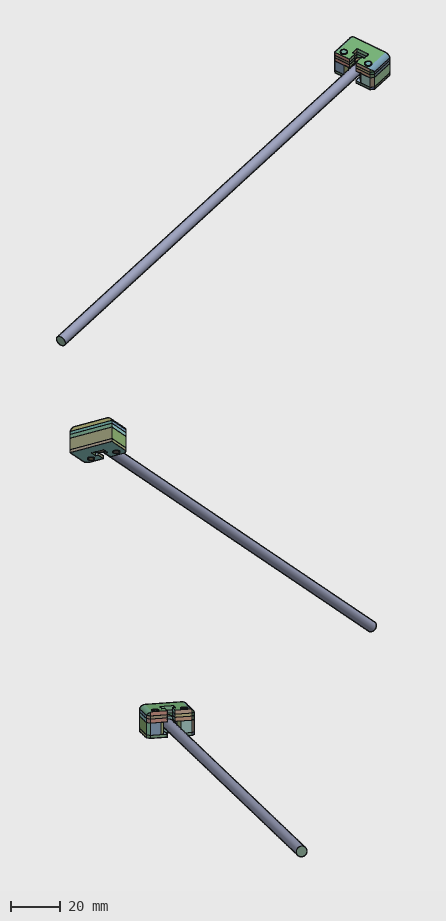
import cadquery as cq

block_width = 20.0
block_depth = 12.0
block_height = 11.12
rod_length = 200.0
back_y = (block_depth + rod_length) / 2
front_y = back_y - block_depth

base_top = 1.3
core_top = 6.42
cover_top = 8.12
spacer_top = 9.42

corner_chamfer = 1.3
crown_width = 2.1
crown_radius = 2.6

rod_radius = 2.25
rod_z = 4.25
head_radius = 3.5
head_length = 2.5

slot_width = 3.2
pocket_width = 5.7
pocket_length = 3.0
neck_length = 4.0
pocket_front_y = front_y + neck_length

core_slot_width = pocket_width
core_pocket_width = 2 * head_radius
core_mouth_chamfer = corner_chamfer

pin_radius = 1.5
pin_chamfer = 0.25
pin_spacing = 12.1
pin_inset = 2.4
pin_centers = [(side * pin_spacing / 2, front_y + pin_inset) for side in (-1, 1)]


def box_on(bottom, top, width, y_start, length):
    """Box centred on X between two heights, running back from y_start."""
    base_plane = cq.Workplane("XY", origin=(0, y_start, bottom))
    return base_plane.box(width, length, top - bottom, centered=(True, False, False))


def plate_blank(bottom, top):
    """Rectangular plate with chamfered front corners and the two pin holes."""
    plate = box_on(bottom, top, block_width, front_y, block_depth)
    plate = plate.edges("|Z and <Y").chamfer(corner_chamfer)
    holes = cq.Workplane("XY", origin=(0, 0, bottom)).pushPoints(pin_centers)
    return plate.cut(holes.circle(pin_radius).extrude(top - bottom))


def t_opening(bottom, top, neck_width, head_width):
    """T-shaped prism: a neck from the front face and a wider pocket behind it."""
    neck = box_on(bottom, top, neck_width, front_y, neck_length)
    return neck.union(box_on(bottom, top, head_width, pocket_front_y, pocket_length))


def slotted_plate(bottom, top):
    """Plate with the narrow T-shaped opening."""
    return plate_blank(bottom, top).cut(t_opening(bottom, top, slot_width, pocket_width))


def make_core():
    """Thick plate with the wide opening, chamfered at its mouth."""
    core = plate_blank(base_top, core_top)
    core = core.cut(t_opening(base_top, core_top, core_slot_width, core_pocket_width))
    half_slot = core_slot_width / 2
    mouth = (
        cq.Workplane("XY", origin=(0, 0, base_top))
        .moveTo(-half_slot - core_mouth_chamfer, front_y)
        .lineTo(half_slot + core_mouth_chamfer, front_y)
        .lineTo(half_slot, front_y + core_mouth_chamfer)
        .lineTo(-half_slot, front_y + core_mouth_chamfer)
        .close()
        .extrude(core_top - base_top)
    )
    return core.cut(mouth)


def make_cap():
    """Top plate with its two upper side edges rounded by shallow arcs."""
    half_width = block_width / 2
    half_flat = half_width - crown_width
    crown = (
        cq.Workplane("XZ", origin=(0, back_y, 0))
        .moveTo(-half_width, spacer_top)
        .lineTo(half_width, spacer_top)
        .radiusArc((half_flat, block_height), -crown_radius)
        .lineTo(-half_flat, block_height)
        .radiusArc((-half_width, spacer_top), -crown_radius)
        .close()
        .extrude(block_depth)
    )
    return slotted_plate(spacer_top, block_height).intersect(crown)


def rod_cylinder(y_start, length, radius):
    """Cylinder on the rod axis, running back from y_start."""
    return cq.Workplane("XZ", origin=(0, y_start, rod_z)).circle(radius).extrude(-length)


def make_rod():
    """Round rod with a larger round head that bears on the front of the pocket."""
    rod = rod_cylinder(front_y - rod_length, rod_length + neck_length, rod_radius)
    return rod.union(rod_cylinder(pocket_front_y, head_length, head_radius))


def make_pin(center):
    """Dowel pin, flush with both faces of the stack and chamfered at both ends."""
    pin = cq.Workplane("XY").circle(pin_radius).extrude(block_height)
    return pin.faces("<Z or >Z").chamfer(pin_chamfer).translate((*center, 0))


base = slotted_plate(0, base_top)
core = make_core()
cover = slotted_plate(core_top, cover_top)
spacer = slotted_plate(cover_top, spacer_top)
cap = make_cap()
rod = make_rod()
pins = [make_pin(center) for center in pin_centers]

result = cq.Compound.makeCompound(
    [base.val(), core.val(), cover.val(), spacer.val(), cap.val(), rod.val(), *[pin.val() for pin in pins]]
)